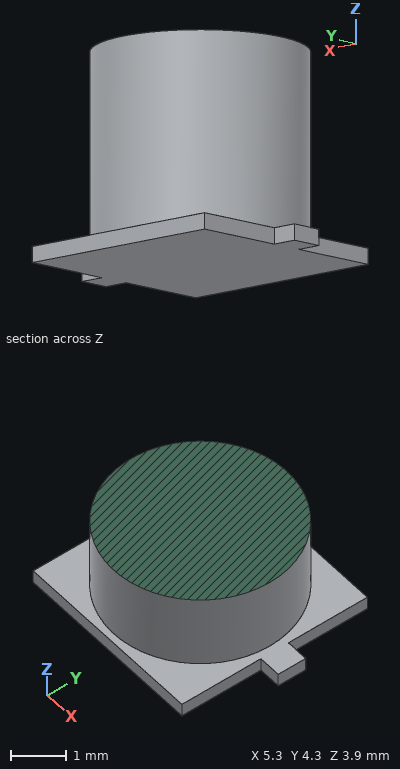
import cadquery as cq

overall_length = 5.3
overall_height = 3.9
plate_side = 4.3
plate_thickness = 0.3
tab_width = 0.64
body_diameter = 4.0

body_height = overall_height - plate_thickness


def make_base():
    """Square plate with a narrow bar through it, leaving a tab on each X side."""
    bottom_up = (True, True, False)
    plate = cq.Workplane("XY").box(plate_side, plate_side, plate_thickness, centered=bottom_up)
    tabs = cq.Workplane("XY").box(overall_length, tab_width, plate_thickness, centered=bottom_up)
    return plate.union(tabs)


def make_body():
    """Round body standing on the plate."""
    return (
        cq.Workplane("XY")
        .workplane(offset=plate_thickness)
        .circle(body_diameter / 2)
        .extrude(body_height)
    )


result = make_base().union(make_body())